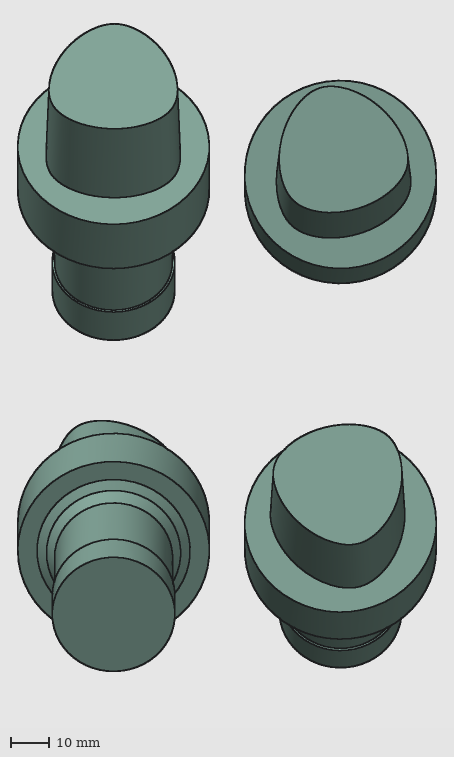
import cadquery as cq
import math

total_height = 95.0
taper_height = 30.0
flange_height = 19.95
foot_height = 12.7

foot_diameter = 32.0
neck_diameter = 30.8
flange_diameter = 50.0

neck_rim_diameter = 31.2
flare_middle_diameter = 35.0
flare_top_diameter = 39.9
neck_rim_height = 0.6
lower_flare_height = 2.9
upper_flare_height = 1.5

polygon_base_width = 35.1
polygon_taper = 1 / 20
lobe_eccentricity = 1.0
outline_samples = 36

flange_top = total_height - taper_height
flange_bottom = flange_top - flange_height
flare_middle = flange_bottom - upper_flare_height
flare_bottom = flare_middle - lower_flare_height
neck_top = flare_bottom - neck_rim_height
polygon_top_width = polygon_base_width - polygon_taper * taper_height


def lobed_point(width, angle):
    """Point on a constant-width trilobe with one lobe pointing along -Y."""
    along_lobe = (
        width / 2 * math.cos(angle)
        + 2 * lobe_eccentricity * math.cos(2 * angle)
        - lobe_eccentricity * math.cos(4 * angle)
    )
    across_lobe = (
        width / 2 * math.sin(angle)
        - 2 * lobe_eccentricity * math.sin(2 * angle)
        - lobe_eccentricity * math.sin(4 * angle)
    )
    return across_lobe, -along_lobe


def lobed_outline(plane, width):
    """Add a closed trilobe outline to the workplane."""
    angles = [2 * math.pi * i / outline_samples for i in range(outline_samples)]
    points = [lobed_point(width, angle) for angle in angles]
    return plane.spline(points, periodic=True).wire()


def make_round_body():
    """Foot, neck, flare and flange as one revolved profile of (radius, height)."""
    profile = [
        (0, 0),
        (foot_diameter / 2, 0),
        (foot_diameter / 2, foot_height),
        (neck_diameter / 2, foot_height),
        (neck_diameter / 2, neck_top),
        (neck_rim_diameter / 2, flare_bottom),
        (flare_middle_diameter / 2, flare_middle),
        (flare_top_diameter / 2, flange_bottom),
        (flange_diameter / 2, flange_bottom),
        (flange_diameter / 2, flange_top),
        (0, flange_top),
    ]
    return cq.Workplane("XZ").polyline(profile).close().revolve(360, (0, 0, 0), (0, 1, 0))


def make_polygon_taper():
    """Trilobe shank narrowing upward from the flange."""
    base = lobed_outline(cq.Workplane("XY").workplane(offset=flange_top), polygon_base_width)
    both_ends = lobed_outline(base.workplane(offset=taper_height), polygon_top_width)
    return both_ends.loft(ruled=True)


result = make_round_body().union(make_polygon_taper())